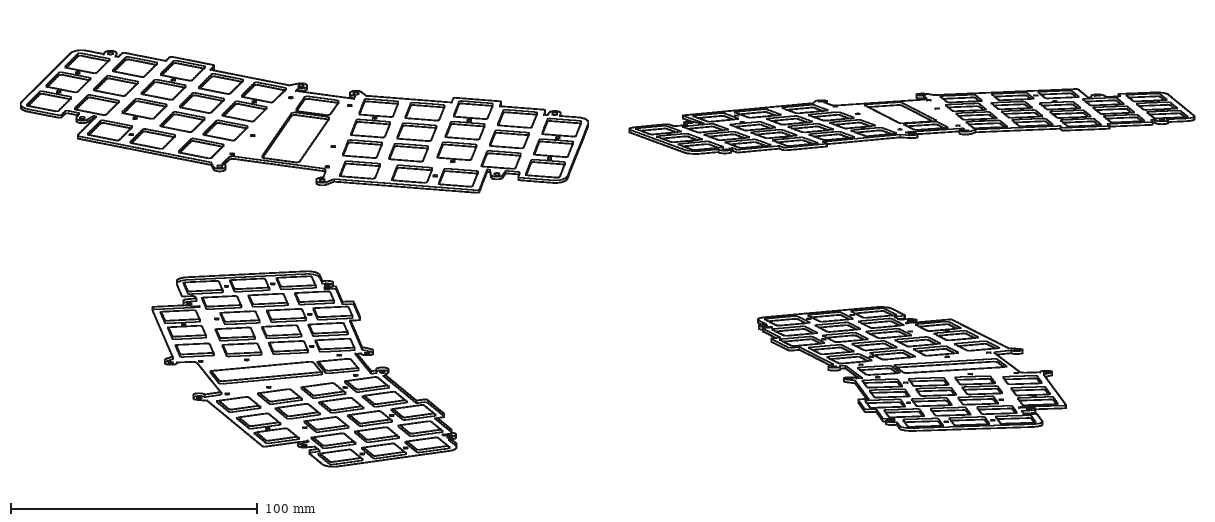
import cadquery as cq
import math


thickness = 1.2
tilt = 7.0
key_pitch = 19.05
key_hole_width = 14.0
key_hole_length = 14.5
key_hole_radius = 1.0
side_wall = 2.9
outermost_side_wall = 3.0
relief_side_wall = 2.6
thumb_side_wall = 3.25
end_wall = 2.85
raised_end_wall = 2.55
outer_end_wall = 3.1
relief_end_wall = 2.4
corner_radius = 1.0
outer_corner_radius = 5.0

stagger = key_pitch / 4
first_column_u = 27.36
middle_row_v = 3.87
column_shifts = [0, 0, stagger, 0, -stagger]
row_steps = [-1, 0, 1]

inner_edge_u = 16.05

bridge_top = 31.2
bridge_bottom = -33.5
window_radius = 1.5
upper_window_width = 14.6
upper_window_top = 27.8
upper_window_bottom = 13.6
lower_window_width = 16.0
lower_window_top = 12.2
lower_window_bottom = -31.3

screw_hole_diameter = 1.6
ear_hole_diameter = 2.1
ear_radius = 2.5
top_inner_ear = (11.65, 36.1)
top_outer_ear = (94.2, 41.9)
lower_outer_ear = (87.9, -17.8)
bottom_inner_ear = (21.8, -43.72)
ears = [top_inner_ear, top_outer_ear, lower_outer_ear, bottom_inner_ear]
bridge_screws = [(12.5, 24.6), (17.1, -13.1), (20.2, -31.5)]

top_ear_neck_u = 20.5
bottom_ear_neck_u = 20.8
ear_gap = 1.2
bridge_fillet = 2.0

column_u = [first_column_u + i * key_pitch for i in range(len(column_shifts))]
column_keys = [
    (u, middle_row_v + shift + step * key_pitch)
    for u, shift in zip(column_u, column_shifts)
    for step in row_steps
]
thumb_v = middle_row_v - 2 * key_pitch
thumb_first_u = first_column_u + key_pitch / 8
thumb_second_u = thumb_first_u + key_pitch * 9 / 8
thumb_third_u = thumb_second_u + key_pitch
upright_keys = column_keys + [(thumb_third_u, thumb_v)]
turned_keys = [(thumb_first_u, thumb_v), (thumb_second_u, thumb_v)]

half_pitch = key_pitch / 2
field_screws = [
    (column_u[0], middle_row_v + half_pitch),
    (column_u[2], middle_row_v + stagger + half_pitch),
    (column_u[2], middle_row_v + stagger - 3 * half_pitch),
    (column_u[4], middle_row_v - stagger + half_pitch),
    (column_u[4], middle_row_v - stagger - half_pitch),
    ((thumb_second_u + thumb_third_u) / 2, thumb_v),
]

cos_tilt = math.cos(math.radians(tilt))
sin_tilt = math.sin(math.radians(tilt))


def to_plate(u, v):
    """Point of the tilted key field in plate coordinates."""
    return (u * cos_tilt - v * sin_tilt, u * sin_tilt + v * cos_tilt)


def on_inner_edge(y):
    """Point of the inner edge of the key field at height y."""
    v = (y - inner_edge_u * sin_tilt) / cos_tilt
    return to_plate(inner_edge_u, v)


def on_row_edge(v, x):
    """Point at position x of the tilted line at height v."""
    u = (x + v * sin_tilt) / cos_tilt
    return to_plate(u, v)


def ear_tangent(point, ear, side):
    """Point where the line from `point` touches the ear; side is +1 or -1."""
    dx = point[0] - ear[0]
    dy = point[1] - ear[1]
    angle = math.atan2(dy, dx) + side * math.acos(ear_radius / math.hypot(dx, dy))
    return (ear[0] + ear_radius * math.cos(angle), ear[1] + ear_radius * math.sin(angle))


def unit(start, end):
    length = math.dist(start, end)
    return ((end[0] - start[0]) / length, (end[1] - start[1]) / length)


def rounded_outline(corners):
    """Closed wire through (point, radius) corners; radius 0 keeps a corner sharp."""
    wire = cq.Workplane("XY")
    started = False
    for i, (point, radius) in enumerate(corners):
        back = unit(point, corners[i - 1][0])
        ahead = unit(point, corners[(i + 1) % len(corners)][0])
        half_angle = math.acos(back[0] * ahead[0] + back[1] * ahead[1]) / 2
        setback = radius / math.tan(half_angle)
        start = (point[0] + setback * back[0], point[1] + setback * back[1])
        wire = wire.lineTo(*start) if started else wire.moveTo(*start)
        started = True
        if radius > 0:
            end = (point[0] + setback * ahead[0], point[1] + setback * ahead[1])
            bisector = unit((0, 0), (back[0] + ahead[0], back[1] + ahead[1]))
            reach = radius / math.sin(half_angle) - radius
            middle = (point[0] + reach * bisector[0], point[1] + reach * bisector[1])
            wire = wire.threePointArc(middle, end)
    return wire.close()


def half_outline():
    """Outline of the right half, clockwise from the top of the bridge."""
    half_width = key_hole_width / 2
    side = half_width + side_wall
    half_length = key_hole_length / 2
    end = half_length + end_wall
    upper_row_v = middle_row_v + key_pitch
    lower_row_v = middle_row_v - key_pitch
    top_v = upper_row_v + end
    raised_top_v = upper_row_v + stagger + half_length + raised_end_wall
    fifth_top_v = upper_row_v - stagger + half_length + outer_end_wall
    relief_v = lower_row_v - half_length - relief_end_wall
    fifth_bottom_v = lower_row_v - stagger - end
    bottom_v = thumb_v - end
    raised_left_u = column_u[2] - side
    raised_right_u = column_u[2] + side
    fourth_right_u = column_u[3] + side
    fifth_left_u = column_u[4] - half_width - relief_side_wall
    fifth_right_u = column_u[4] + half_width + outermost_side_wall
    thumb_right_u = thumb_third_u + half_width + thumb_side_wall

    top_neck = to_plate(top_ear_neck_u, top_v)
    bottom_neck = to_plate(bottom_ear_neck_u, bottom_v)
    slit_end = to_plate(thumb_right_u + ear_gap, relief_v)
    top_ear_left = top_outer_ear[0] - ear_radius
    top_ear_right = top_outer_ear[0] + ear_radius
    lower_ear_right = lower_outer_ear[0] + ear_radius
    return [
        ((0, bridge_top), 0),
        (on_inner_edge(bridge_top), 0),
        (top_inner_ear, 0),
        (ear_tangent(top_neck, top_inner_ear, 1), 0),
        (top_neck, 0),
        (to_plate(raised_left_u, top_v), 0),
        (to_plate(raised_left_u, raised_top_v), corner_radius),
        (to_plate(raised_right_u, raised_top_v), corner_radius),
        (to_plate(raised_right_u, top_v), 0),
        (to_plate(fourth_right_u, top_v), corner_radius),
        (to_plate(fourth_right_u, fifth_top_v), 0),
        (on_row_edge(fifth_top_v, top_ear_left), 0),
        ((top_ear_left, top_outer_ear[1]), 0),
        ((top_ear_right, top_outer_ear[1]), 0),
        (on_row_edge(fifth_top_v, top_ear_right), 0),
        (to_plate(fifth_right_u, fifth_top_v), outer_corner_radius),
        (to_plate(fifth_right_u, fifth_bottom_v), outer_corner_radius),
        (to_plate(fifth_left_u, fifth_bottom_v), corner_radius),
        (to_plate(fifth_left_u, relief_v), corner_radius),
        (on_row_edge(relief_v, lower_ear_right), 0),
        ((lower_ear_right, lower_outer_ear[1]), 0),
        (ear_tangent(slit_end, lower_outer_ear, 1), 0),
        (slit_end, 0),
        (to_plate(thumb_right_u, relief_v), 0),
        (to_plate(thumb_right_u, bottom_v), corner_radius),
        (bottom_neck, 0),
        (ear_tangent(bottom_neck, bottom_inner_ear, -1), 0),
        (bottom_inner_ear, 0),
        (on_inner_edge(bridge_bottom), bridge_fillet),
        ((0, bridge_bottom), 0),
    ]


def discs(points, diameter):
    return cq.Workplane("XY").pushPoints(points).circle(diameter / 2).extrude(thickness)


def key_openings(centers, turn):
    """Rounded switch openings at tilted-frame centers, turned by `turn` degrees."""
    opening = (
        cq.Workplane("XY")
        .rect(key_hole_width, key_hole_length)
        .extrude(thickness)
        .edges("|Z")
        .fillet(key_hole_radius)
        .rotate((0, 0, 0), (0, 0, 1), tilt + turn)
        .val()
    )
    places = [cq.Vector(*to_plate(u, v)) for u, v in centers]
    return [opening.moved(cq.Location(place)) for place in places]


def window(width, top, bottom):
    return (
        cq.Workplane("XY")
        .center(0, (top + bottom) / 2)
        .rect(width, top - bottom)
        .extrude(thickness)
        .edges("|Z")
        .fillet(window_radius)
    )


def right_half():
    half = rounded_outline(half_outline()).extrude(thickness)
    half = half.union(discs(ears, 2 * ear_radius))
    for opening in key_openings(upright_keys, 0) + key_openings(turned_keys, 90):
        half = half.cut(cq.Workplane(opening))
    screws = [to_plate(u, v) for u, v in field_screws] + bridge_screws
    half = half.cut(discs(screws, screw_hole_diameter))
    return half.cut(discs(ears, ear_hole_diameter))


half_plate = right_half()
plate = half_plate.union(half_plate.mirror("YZ"))
plate = plate.cut(window(upper_window_width, upper_window_top, upper_window_bottom))
result = plate.cut(window(lower_window_width, lower_window_top, lower_window_bottom))